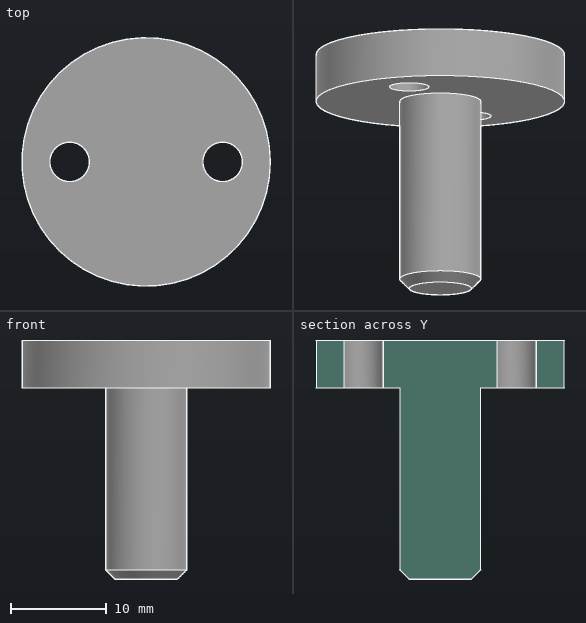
import cadquery as cq

head_diameter = 26.0
head_thickness = 5.0
total_height = 25.0
pin_diameter = 8.5
pin_tip_chamfer = 1.0
hole_diameter = 4.1
hole_spacing = 16.0

pin_length = total_height - head_thickness


def make_head():
    """Round disc with its underside on the XY plane and two through holes along X."""
    disc = cq.Workplane("XY").circle(head_diameter / 2).extrude(head_thickness)
    hole_centres = [(-hole_spacing / 2, 0), (hole_spacing / 2, 0)]
    return disc.faces(">Z").workplane().pushPoints(hole_centres).hole(hole_diameter)


def make_pin():
    """Straight pin hanging below the head, chamfered at its free end."""
    pin = cq.Workplane("XY").circle(pin_diameter / 2).extrude(-pin_length)
    return pin.faces("<Z").chamfer(pin_tip_chamfer)


result = make_head().union(make_pin())